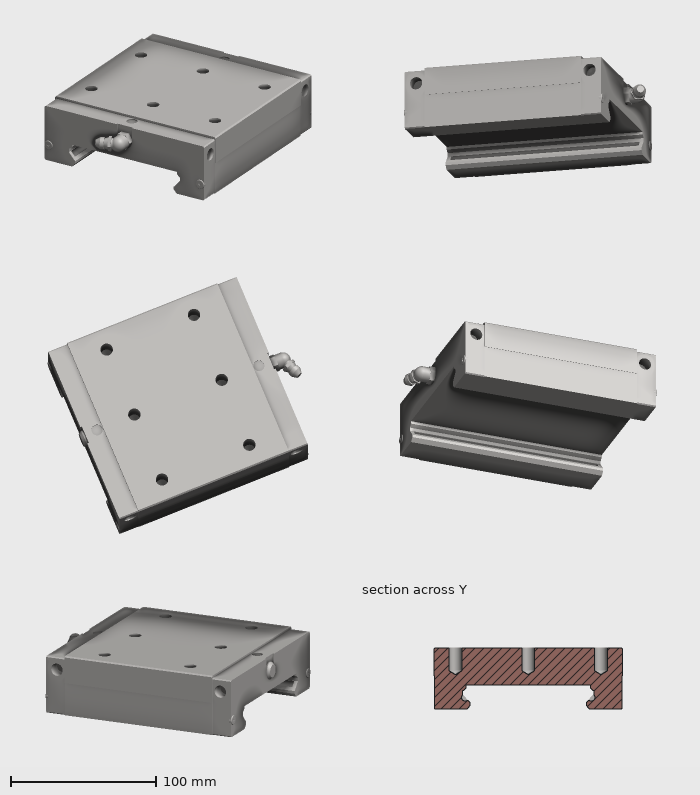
import cadquery as cq
import math


block_width = 130.0
block_length = 111.8
block_height = 42.5
block_chamfer = 1.0
side_step_z = 23.2
side_step = 0.3

cap_width = 129.0
cap_height = 40.8
cap_chamfer = 0.8
assembly_length = 140.1
end_face_y = assembly_length / 2

channel_profile = [(42.5, 16.5), (42.5, 14.6), (45.0, 12.7), (45.0, 10.3), (39.9, 4.6), (39.9, 2.7), (42.2, 0)]

ball_groove_x = 43.4
ball_groove_z = 8.3
ball_groove_radius = 2.4
seal_plate_thickness = 2.7

mount_diameter = 8.5
mount_depth = 15.9
mount_spacing_x = 50.0
mount_spacing_y = 65.0
drill_point_angle = 118

top_port_diameter = 7.6
top_port_depth = 0.8
top_port_y = 60.2
side_port_diameter = 8.7
side_port_depth = 9.5
side_port_y = 62.0
side_port_z = 32.0

recess_width = 12.4
recess_depth = 1.1
lube_z = 30.3
recess_floor_y = end_face_y - recess_depth

plug_radius = recess_width / 2
plug_tip_radius = 4.6
plug_rim = 1.1
plug_length = 3.0

screw_x = 61.3
screw_z = 11.8
screw_radius = 3.3
screw_protrusion = 0.6
screw_sink = 1.5
screw_edge_rounding = 0.5
cross_length = 2.4
cross_width = 0.6

nut_across_corners = 12.4
nut_length = 4.5
elbow_radius = 5.4
elbow_y = -78.0
nipple_angle = 24
collar_across_corners = 10.5
collar_start = 4.8
collar_end = 6.8
shoulder_radius = 4.5
neck_radius = 3.5
stem_radius = 4.0
head_radius = 4.3
head_start = 9.7
head_end = 12.4
tip_radius = 2.4
nipple_length = 15.7


def box_on_floor(width, length, height):
    return cq.Workplane("XY").box(width, length, height, centered=(True, True, False))


def along_y(y, direction, x=0, z=0):
    """Workplane at (x, y, z) whose normal points along +Y or -Y."""
    return cq.Workplane(cq.Plane(origin=(x, y, z), xDir=(1, 0, 0), normal=(0, direction, 0)))


def make_block():
    block = box_on_floor(block_width - 2 * side_step, block_length, block_height)
    upper = box_on_floor(block_width, block_length, block_height - side_step_z)
    block = block.union(upper.translate((0, 0, side_step_z)))
    return block.faces(">Z").edges("|Y").chamfer(block_chamfer)


def make_caps():
    caps = box_on_floor(cap_width, assembly_length, cap_height)
    return caps.edges("|Y").chamfer(cap_chamfer)


def make_channel():
    mirrored = [(-x, z) for x, z in reversed(channel_profile)]
    profile = cq.Workplane("XZ").polyline(channel_profile + mirrored).close()
    return profile.extrude(end_face_y, both=True)


def make_ball_grooves():
    centres = [(-ball_groove_x, ball_groove_z), (ball_groove_x, ball_groove_z)]
    circles = cq.Workplane("XZ").pushPoints(centres).circle(ball_groove_radius)
    return circles.extrude(end_face_y - seal_plate_thickness, both=True)


def make_mount_holes():
    radius = mount_diameter / 2
    point_depth = radius / math.tan(math.radians(drill_point_angle / 2))
    outline = [(0, 0), (radius, 0), (radius, -mount_depth), (0, -mount_depth - point_depth)]
    drill = cq.Workplane("XZ").polyline(outline).close().revolve(360, (0, 0), (0, 1))
    spots = cq.Workplane("XY").workplane(offset=block_height).rarray(mount_spacing_x, mount_spacing_y, 3, 2)
    return spots.eachpoint(lambda spot: drill.val().moved(spot), combine=False)


def make_ports():
    top_plane = cq.Workplane("XY").workplane(offset=cap_height)
    ports = top_plane.rarray(1.6, 2 * top_port_y, 1, 2).circle(top_port_diameter / 2).extrude(-top_port_depth)
    for side in (-1, 1):
        plane = cq.Workplane("YZ").workplane(offset=side * cap_width / 2)
        spots = plane.pushPoints([(-side_port_y, side_port_z), (side_port_y, side_port_z)])
        ports = ports.union(spots.circle(side_port_diameter / 2).extrude(-side * side_port_depth))
    return ports


def make_recess(direction):
    """U-shaped recess, open at the cap top, in the end face towards +Y or -Y."""
    floor = along_y(direction * recess_floor_y, direction, z=lube_z)
    round_end = floor.circle(recess_width / 2).extrude(recess_depth)
    slot = box_on_floor(recess_width, recess_depth, cap_height - lube_z)
    slot = slot.translate((0, direction * (end_face_y - recess_depth / 2), lube_z))
    return round_end.union(slot)


def make_plug():
    outline = [
        (0, 0),
        (plug_radius, 0),
        (plug_radius, plug_rim),
        (plug_tip_radius, plug_length),
        (0, plug_length),
    ]
    plug = cq.Workplane("XY").polyline(outline).close().revolve(360, (0, 0), (0, 1))
    return plug.translate((0, recess_floor_y, lube_z))


def make_screw(x, direction):
    seat_y = direction * (end_face_y - screw_sink)
    head_length = screw_sink + screw_protrusion
    head = along_y(seat_y, direction, x, screw_z).circle(screw_radius).extrude(head_length)
    outer = ">Y" if direction > 0 else "<Y"
    return head.faces(outer).edges().fillet(screw_edge_rounding)


def make_screw_cross(x, direction):
    face = along_y(direction * (end_face_y + screw_protrusion), direction, x, screw_z)
    bar = face.rect(cross_length, cross_width).extrude(-screw_protrusion)
    return bar.union(face.rect(cross_width, cross_length).extrude(-screw_protrusion))


def make_fitting():
    nut = along_y(-recess_floor_y, -1, z=lube_z).polygon(6, nut_across_corners).extrude(nut_length)
    nut_end_y = -recess_floor_y - nut_length
    barrel = along_y(nut_end_y, -1, z=lube_z).circle(elbow_radius).extrude(nut_end_y - elbow_y)
    elbow = cq.Workplane("XY").sphere(elbow_radius).translate((0, elbow_y, lube_z))

    outline = [
        (0, 0),
        (0, stem_radius),
        (-collar_start, stem_radius),
        (-collar_start, shoulder_radius),
        (-collar_end, shoulder_radius),
        (-head_start, neck_radius),
        (-head_start, head_radius),
        (-head_end, head_radius),
        (-nipple_length, tip_radius),
        (-nipple_length, 0),
    ]
    nipple = cq.Workplane("XY").polyline(outline).close().revolve(360, (0, 0), (1, 0))
    collar_plane = cq.Workplane("YZ").workplane(offset=-collar_end)
    collar = collar_plane.polygon(6, collar_across_corners).extrude(collar_end - collar_start)
    nipple = nipple.union(collar).rotate((0, 0, 0), (0, 0, 1), nipple_angle)
    return nut.union(barrel).union(elbow).union(nipple.translate((0, elbow_y, lube_z)))


result = make_block().union(make_caps()).cut(make_channel()).cut(make_ball_grooves())
result = result.cut(make_mount_holes()).cut(make_ports())
for direction in (-1, 1):
    result = result.cut(make_recess(direction))
    for x in (-screw_x, screw_x):
        result = result.union(make_screw(x, direction)).cut(make_screw_cross(x, direction))
result = result.union(make_plug()).union(make_fitting())